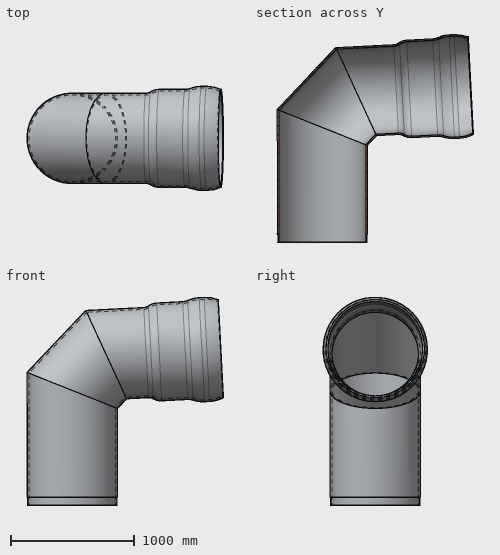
import cadquery as cq
import math

pipe_radius = 730.0 / 2
bore_radius = 698.0 / 2
wall = pipe_radius - bore_radius

turn = 43.5
lower_length = 926.0
middle_length = 398.0

spigot_radius = 360.0
spigot_length = 64.0
spigot_taper = 5.0

step_start = 322.0
step_inflection = 360.0
step_end = 428.0
bulge_start = 637.0
bulge_inflection = 680.0
crown_start = 772.0
crown_end = 812.0
mouth = 926.0
socket_radius = 792.0 / 2
crown_radius = 842.0 / 2
mouth_radius = socket_radius

overrun = pipe_radius
trim_size = 3355.0


def axis_direction(angle):
    """Unit vector in the XZ plane, tilted from +Z toward +X."""
    return cq.Vector(math.sin(math.radians(angle)), 0, math.cos(math.radians(angle)))


def axial_plane(origin, angle):
    """Sketch plane with local x radial and local y along the pipe axis."""
    radial = axis_direction(angle + 90)
    return cq.Plane(origin=origin.toTuple(), xDir=radial.toTuple(), normal=(0, -1, 0))


def beyond_mitre(origin, angle):
    """Block filling the space beyond a mitre plane, on the side its normal points to."""
    plane = cq.Plane(origin=origin.toTuple(), xDir=(0, 1, 0), normal=axis_direction(angle).toTuple())
    return cq.Workplane(plane).rect(trim_size, trim_size).extrude(trim_size)


def spin(profile):
    return profile.close().revolve(360, (0, 0, 0), (0, 1, 0))


def inflection_radius(start, inflection, end, small, large):
    """Radius at which two tangent arcs of an S-shaped step meet."""
    return small + (large - small) * (inflection - start) / (end - start)


base = cq.Vector(0, 0, 0)
first_mitre = cq.Vector(0, 0, lower_length)
second_mitre = first_mitre + axis_direction(turn) * middle_length


def make_lower_pipe():
    top = lower_length + overrun
    pipe = spin(
        cq.Workplane(axial_plane(base, 0))
        .moveTo(bore_radius, 0)
        .lineTo(spigot_radius, 0)
        .lineTo(spigot_radius, spigot_length)
        .lineTo(pipe_radius, spigot_length + spigot_taper)
        .lineTo(pipe_radius, top)
        .lineTo(bore_radius, top)
    )
    return pipe.cut(beyond_mitre(first_mitre, turn / 2))


def make_middle_pipe():
    pipe = spin(
        cq.Workplane(axial_plane(first_mitre, turn))
        .moveTo(bore_radius, -overrun)
        .lineTo(pipe_radius, -overrun)
        .lineTo(pipe_radius, middle_length + overrun)
        .lineTo(bore_radius, middle_length + overrun)
    )
    pipe = pipe.cut(beyond_mitre(first_mitre, turn / 2 + 180))
    return pipe.cut(beyond_mitre(second_mitre, turn * 3 / 2))


def inset_arc_end(arc_start, arc_end, start_radius, end_radius, inset):
    """End of an arc that starts parallel to the axis, moved inward square to the arc."""
    slope = 2 * math.atan2(end_radius - start_radius, arc_end - arc_start)
    return (end_radius - inset * math.cos(slope), arc_end + inset * math.sin(slope))


def socket_form(inset):
    """Solid socket shape, with its surface moved inward by inset."""
    step_middle = inflection_radius(step_start, step_inflection, step_end, pipe_radius, socket_radius)
    bulge_middle = inflection_radius(
        bulge_start, bulge_inflection, crown_start, socket_radius, crown_radius
    )
    step_turn = inset_arc_end(step_start, step_inflection, pipe_radius, step_middle, inset)
    bulge_turn = inset_arc_end(bulge_start, bulge_inflection, socket_radius, bulge_middle, inset)
    lip = inset_arc_end(crown_end, mouth, crown_radius, mouth_radius, inset)
    lip_slope = 2 * math.atan2(crown_radius - mouth_radius, mouth - crown_end)
    rim_apex = mouth - mouth_radius * math.tan(lip_slope)
    return spin(
        cq.Workplane(axial_plane(second_mitre, turn * 2))
        .moveTo(0, -overrun)
        .lineTo(pipe_radius - inset, -overrun)
        .lineTo(pipe_radius - inset, step_start)
        .tangentArcPoint(step_turn, relative=False)
        .tangentArcPoint((socket_radius - inset, step_end), relative=False)
        .lineTo(socket_radius - inset, bulge_start)
        .tangentArcPoint(bulge_turn, relative=False)
        .tangentArcPoint((crown_radius - inset, crown_start), relative=False)
        .lineTo(crown_radius - inset, crown_end)
        .tangentArcPoint(lip, relative=False)
        .lineTo(0, rim_apex)
    )


def make_socket_pipe():
    pipe = socket_form(0).cut(socket_form(wall))
    return pipe.cut(beyond_mitre(second_mitre, turn * 3 / 2 + 180))


lower_pipe = make_lower_pipe()
middle_pipe = make_middle_pipe()
socket_pipe = make_socket_pipe()

bodies = [lower_pipe, middle_pipe, socket_pipe]
result = cq.Compound.makeCompound([body.solids().val() for body in bodies])